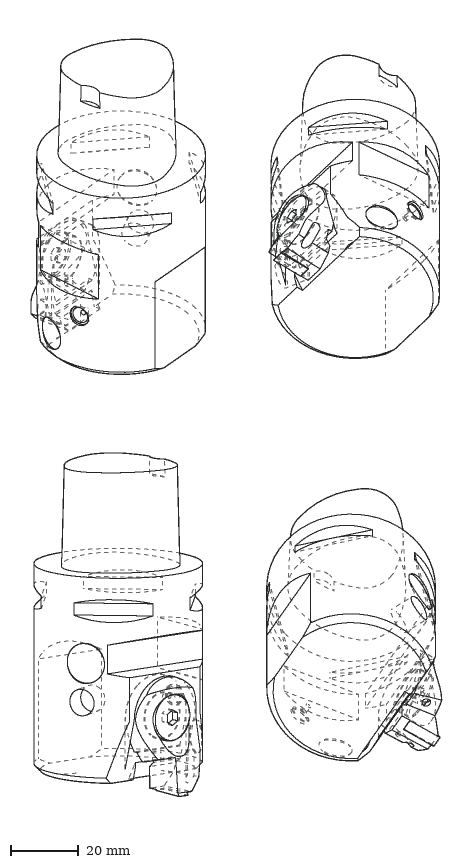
import cadquery as cq
import math

total_height = 96.0
body_radius = 50.0 / 2
body_bottom = 3.8
shoulder_height = 66.0
bottom_chamfer = 1.9
beyond = 96.0

lobe_radius = 18.7
flank_radius = 16.2
seam_radius = 17.5
seam_angle = 25.2
shank_taper = math.degrees(math.atan(1 / 40))
key_notch_radius = 5.0
key_notch_depth = 5.4
key_notch_axis_y = -18.9

groove_count = 4
groove_height = 56.1
groove_floor_width = 3.6
groove_floor_radius = 22.1
groove_side_angle = 29.0

notch_side_angle = 15.0
notch_top = 45.8
side_flat_bottom = 30.5
side_flat_radius = 21.9
side_flat_turn = 262.2
mount_notch_bottom = 37.2
mount_notch_floor = 16.5

mount_face = 20.8
screw_height = 22.8
mount_slope = 15.0
pocket_radius = 24 / 2
pocket_floor = 16.8
relief_start = 9.2
relief_angle = 30.0
relief_edge_y = 8.0

back_flat = 21.7
back_flat_top = 35.7

back_plug_diameter, back_plug_bulge = 21.1, 1.6
bottom_plug_bulge = 0.9
bottom_plugs = [(12.0, 10.0, 12.8), (10.0, -9.1, -13.9)]
side_plug_bulge = 0.9
side_plugs = [(10.0, 249.3, 12.3), (12.0, 115.5, 39.9)]

port_diameter, port_depth = 8.0, 7.7
port_angle, port_height = 113.0, 28.1
nozzle_diameter, nozzle_depth = 6.2, 0.8
nozzle_cone_diameter, nozzle_cone_depth = 5.0, 1.7
nozzle_bore_diameter, nozzle_bore_depth = 1.5, 3.8
nozzle_angle, nozzle_height = 276.6, 23.1

cartridge_radius = 23.8 / 2
cartridge_top_outer_height = 31.9
nose_start = 20.6
outer_face_radius = 22.3
bevel_radius = 19.2
nose_middle_reach, nose_middle = 27.7, 12.3
nose_crease_reach, nose_crease = 28.8, 4.8
nose_end_reach, nose_end = 29.1, 1.0
flank_angle = 15.0
rake_y = 2.0
nose_chamfer_top = 4.6
nose_chamfer = 3.8
heel_face = 18.0
heel_bottom, heel_top = 8.7, 12.5
foot_face = 16.4
foot_top = 7.3
left_arc_middle = (9.3, 14.0)
left_arc_end = (6.3, 9.4)
roof_height = 11.5
roof_angle = 13.0
coolant_diameter, coolant_depth = 2.5, 2.4
coolant_x, coolant_y = -23.0, 5.0
tip_reach = 29.7
tip_end_y = -1.5
tip_step = 0.5
tip_back = 19.2
channel_diameter = 2.8
channel_start_x, channel_start_z = -22.4, 10.8
channel_length = 11.1
channel_tilt = 15.0

screw_diameter = 13.6
screw_face = 24.4
screw_seat = 19.7
counterbore_diameter = 14.2
scoop_start = 23.8
scoop_slope = 45.0
hex_diameter = 4.7
hex_depth = 2.4


def tan(angle):
    return math.tan(math.radians(angle))


def polar(radius, angle):
    return (radius * math.cos(math.radians(angle)), radius * math.sin(math.radians(angle)))


def around(shape, angle, height=0.0):
    """Turn a shape that faces +X so that it faces the given angle at the given height."""
    return shape.rotate((0, 0, 0), (0, 0, 1), angle).translate((0, 0, height))


def profile_along_y(points, y_start, y_end):
    """Extrude an (x, z) outline between two y positions."""
    outline = cq.Workplane("XZ", origin=(0, y_end, 0)).polyline(points).close()
    return outline.extrude(y_end - y_start)


def rod_along_x(diameter, x_start, x_end):
    return cq.Workplane("YZ", origin=(x_start, 0, 0)).circle(diameter / 2).extrude(x_end - x_start)


def dome(diameter, bulge):
    """A spherical cap that rises along +Z from Z = 0."""
    sphere_radius = (diameter**2 / 4 + bulge**2) / (2 * bulge)
    sphere = cq.Workplane("XY").sphere(sphere_radius).translate((0, 0, bulge - sphere_radius))
    return sphere.intersect(cq.Workplane("XY").circle(diameter).extrude(diameter))


def dome_along_x(diameter, bulge):
    return dome(diameter, bulge).rotate((0, 0, 0), (0, 1, 0), 90)


def shank():
    outline = cq.Workplane("XY", origin=(0, 0, shoulder_height)).moveTo(*polar(seam_radius, 90 - seam_angle))
    for lobe in (90, 210, 330):
        outline = outline.threePointArc(polar(lobe_radius, lobe), polar(seam_radius, lobe + seam_angle))
        outline = outline.threePointArc(
            polar(flank_radius, lobe + 60), polar(seam_radius, lobe + 120 - seam_angle)
        )
    solid = outline.close().extrude(total_height - shoulder_height, taper=shank_taper)
    notch = cq.Workplane("XY", origin=(0, key_notch_axis_y, total_height - key_notch_depth))
    return solid.cut(notch.circle(key_notch_radius).extrude(key_notch_depth))


def chord_cutter(floor, z_low, z_high, side_angle):
    """Cutter facing +X with a flat floor and sides that flare outward."""
    outer = body_radius + 1.9
    flare = (outer - floor) * tan(side_angle)
    points = [(floor, z_low), (floor, z_high), (outer, z_high + flare), (outer, z_low - flare)]
    return profile_along_y(points, -beyond, beyond)


def cut_grooves(body):
    half = groove_floor_width / 2
    cutter = chord_cutter(groove_floor_radius, -half, half, groove_side_angle)
    for index in range(groove_count):
        body = body.cut(around(cutter, 45 + index * 360 / groove_count, groove_height))
    return body


def cut_notches(body):
    side = chord_cutter(side_flat_radius, side_flat_bottom, notch_top, notch_side_angle)
    mount = chord_cutter(mount_notch_floor, mount_notch_bottom, notch_top, notch_side_angle)
    return body.cut(around(side, side_flat_turn)).cut(around(mount, 180))


def cut_mount(body):
    """Flat and sloped mounting faces, the cartridge pocket and the relief under the cutting edge."""
    slope_x = -mount_face + screw_height * tan(mount_slope)
    faces = [
        (-mount_face, mount_notch_bottom),
        (-mount_face, screw_height),
        (slope_x, 0),
        (-beyond, 0),
        (-beyond, mount_notch_bottom),
    ]
    body = body.cut(profile_along_y(faces, -beyond, beyond))
    pocket = rod_along_x(2 * pocket_radius, -beyond, -pocket_floor).translate((0, 0, screw_height))
    legs = profile_along_y(
        [(-beyond, 0), (-pocket_floor, 0), (-pocket_floor, screw_height), (-beyond, screw_height)],
        -pocket_radius,
        pocket_radius,
    )
    body = body.cut(pocket).cut(legs)
    relief_x = -pocket_floor + relief_start * tan(relief_angle)
    relief_top = relief_start + mount_face
    relief_top_x = -pocket_floor - mount_face * tan(relief_angle)
    relief = [(relief_x, 0), (relief_top_x, relief_top), (-beyond, relief_top), (-beyond, 0)]
    return body.cut(profile_along_y(relief, -beyond, relief_edge_y))


def cut_back_flat(body):
    points = [
        (back_flat, 0),
        (back_flat, back_flat_top),
        (back_flat + beyond, back_flat_top + beyond),
        (back_flat + beyond, 0),
    ]
    return body.cut(profile_along_y(points, -beyond, beyond))


def add_plugs(body):
    back = dome_along_x(back_plug_diameter, back_plug_bulge)
    body = body.union(back.translate((back_flat, 0, screw_height)))
    for diameter, x, y in bottom_plugs:
        plug = dome(diameter, bottom_plug_bulge).rotate((0, 0, 0), (1, 0, 0), 180)
        body = body.union(plug.translate((x, y, body_bottom)))
    for diameter, angle, height in side_plugs:
        rim = math.sqrt(body_radius**2 - diameter**2 / 4)
        recess = rod_along_x(diameter, rim, beyond)
        plug = dome_along_x(diameter, side_plug_bulge).translate((rim, 0, 0))
        body = body.cut(around(recess, angle, height)).union(around(plug, angle, height))
    return body


def cut_radial_holes(body):
    port = rod_along_x(port_diameter, body_radius - port_depth, beyond)
    body = body.cut(around(port, port_angle, port_height))
    floor = body_radius - nozzle_depth
    cone = cq.Workplane(
        cq.Solid.makeCone(
            nozzle_cone_diameter / 2,
            nozzle_bore_diameter / 2,
            nozzle_cone_depth,
            cq.Vector(floor, 0, 0),
            cq.Vector(-1, 0, 0),
        )
    )
    bore = rod_along_x(nozzle_bore_diameter, floor - nozzle_bore_depth, floor)
    nozzle = rod_along_x(nozzle_diameter, floor, beyond).union(cone).union(bore)
    return body.cut(around(nozzle, nozzle_angle, nozzle_height))


def make_housing():
    body = cq.Workplane("XY", origin=(0, 0, body_bottom)).circle(body_radius)
    body = body.extrude(shoulder_height - body_bottom).faces("<Z").chamfer(bottom_chamfer)
    body = cut_grooves(body)
    body = cut_notches(body)
    body = cut_mount(body)
    body = cut_back_flat(body)
    body = add_plugs(body)
    body = cut_radial_holes(body)
    return body.union(shank())


def flank_y(height):
    """The -Y flank of the cartridge at a height below its tangent point."""
    tangent_y = -cartridge_radius * math.cos(math.radians(flank_angle))
    tangent_z = screw_height - cartridge_radius * math.sin(math.radians(flank_angle))
    return tangent_y + (tangent_z - height) * tan(flank_angle)


def cartridge_outline():
    """Outline in (y, z): round top, straight flank, chamfered nose, gullet and curved left side."""
    tangent_z = screw_height - cartridge_radius * math.sin(math.radians(flank_angle))
    nose_bottom = nose_chamfer_top - nose_chamfer
    return (
        cq.Workplane("YZ", origin=(-beyond, 0, 0))
        .moveTo(cartridge_radius, screw_height)
        .threePointArc((0, screw_height + cartridge_radius), (-cartridge_radius, screw_height))
        .threePointArc(
            (
                -cartridge_radius * math.cos(math.radians(flank_angle / 2)),
                screw_height - cartridge_radius * math.sin(math.radians(flank_angle / 2)),
            ),
            (flank_y(tangent_z), tangent_z),
        )
        .lineTo(flank_y(nose_chamfer_top), nose_chamfer_top)
        .lineTo(flank_y(nose_chamfer_top) + nose_chamfer, nose_bottom)
        .lineTo(rake_y, nose_bottom)
        .lineTo(rake_y, left_arc_end[1])
        .lineTo(*left_arc_end)
        .threePointArc(left_arc_middle, (cartridge_radius, screw_height))
        .close()
        .extrude(beyond)
    )


def cartridge_face():
    """Blank with a turned outer face: upright at the top, then spreading in an S-curve to the nose."""
    shift = outer_face_radius - body_radius
    top = screw_height + cartridge_radius
    return (
        cq.Workplane("XZ")
        .lineTo(nose_end_reach + shift, 0)
        .lineTo(nose_end_reach + shift, nose_end)
        .lineTo(nose_crease_reach + shift, nose_crease)
        .spline(
            [
                (nose_middle_reach + shift, nose_middle),
                (outer_face_radius, nose_start),
                (outer_face_radius, (nose_start + top) / 2),
                (outer_face_radius, top),
            ],
            tangents=[(nose_crease_reach - nose_end_reach, nose_crease - nose_end), (0, 1)],
            includeCurrent=True,
        )
        .lineTo(0, top)
        .close()
        .revolve(360, (0, 0, 0), (0, 1, 0))
        .translate((shift, 0, 0))
    )


def bevel_cutter():
    """Space above the screw axis outside a large cylinder that leans 45 degrees."""
    cylinder = cq.Workplane("XY", origin=(bevel_radius, 0, -beyond)).circle(bevel_radius).extrude(2 * beyond)
    leaning = cylinder.rotate((0, 0, 0), (0, 1, 0), 45)
    leaning = leaning.translate((-body_radius, 0, cartridge_top_outer_height))
    top = screw_height + cartridge_radius
    block = [(-beyond, screw_height), (-pocket_floor, screw_height), (-pocket_floor, top), (-beyond, top)]
    return profile_along_y(block, -beyond, beyond).cut(leaning)


def cartridge_back():
    """Keeps what lies outside the pocket floor, the heel and the foot."""
    top = screw_height + cartridge_radius
    section = [
        (-foot_face, 0),
        (-foot_face, foot_top),
        (-heel_face, heel_bottom),
        (-heel_face, heel_top),
        (-pocket_floor, heel_top),
        (-pocket_floor, top),
        (-beyond, top),
        (-beyond, 0),
    ]
    return profile_along_y(section, -beyond, beyond)


def cutting_tip():
    points = [(-tip_reach, 0), (-nose_end_reach, nose_end), (-tip_back, nose_end), (-tip_back, tip_step)]
    return profile_along_y(points, tip_end_y, rake_y)


def gullet_cutter():
    """Removes the material below the sloped gullet roof on the +Y side of the cutting edge."""
    roof_back = roof_height - nose_middle_reach * tan(roof_angle)
    points = [(-beyond, 0), (0, 0), (0, roof_back), (-nose_middle_reach, roof_height), (-beyond, roof_height)]
    gullet = profile_along_y(points, rake_y, beyond)
    roof_z = roof_height - (nose_middle_reach + coolant_x) * tan(roof_angle)
    hole = cq.Workplane("XY", origin=(coolant_x, coolant_y, roof_z)).circle(coolant_diameter / 2)
    return gullet.union(hole.extrude(coolant_depth))


def coolant_channel():
    """Round groove that runs down the -Y flank, parallel to it."""
    drop = math.sqrt(1 + tan(channel_tilt) ** 2 + tan(flank_angle) ** 2)
    direction = cq.Vector(-tan(channel_tilt) / drop, tan(flank_angle) / drop, -1 / drop)
    start = cq.Vector(channel_start_x, flank_y(channel_start_z), channel_start_z)
    rod = cq.Solid.makeCylinder(channel_diameter / 2, channel_length, start, direction)
    end = cq.Workplane("XY").sphere(channel_diameter / 2).translate(start.toTuple())
    return end.union(cq.Workplane(rod))


def screw_recess():
    """Counterbore whose lower side opens outward in a sloped scoop."""
    bore = rod_along_x(counterbore_diameter, -beyond, -screw_seat).translate((0, 0, screw_height))
    circle = cq.Workplane("YZ", origin=(-scoop_start, 0, screw_height)).circle(counterbore_diameter / 2)
    reach = tip_reach - scoop_start
    scoop = cq.Solid.extrudeLinear(
        circle.wires().val(), [], cq.Vector(-reach, 0, -reach * tan(scoop_slope))
    )
    return bore.union(cq.Workplane(scoop))


def make_cartridge():
    body = cartridge_outline().intersect(cartridge_face())
    body = body.cut(bevel_cutter())
    body = body.intersect(cartridge_back())
    body = body.cut(gullet_cutter())
    body = body.union(cutting_tip())
    body = body.cut(coolant_channel())
    return body.cut(screw_recess())


def make_screw():
    head = rod_along_x(screw_diameter, -screw_face, -screw_seat)
    socket = cq.Workplane("YZ", origin=(-screw_face, 0, 0)).polygon(6, hex_diameter).extrude(hex_depth)
    return head.cut(socket.rotate((0, 0, 0), (1, 0, 0), 90)).translate((0, 0, screw_height))


housing = make_housing()
cartridge = make_cartridge()
screw = make_screw()
result = cq.Compound.makeCompound([body.solids().val() for body in (housing, cartridge, screw)])